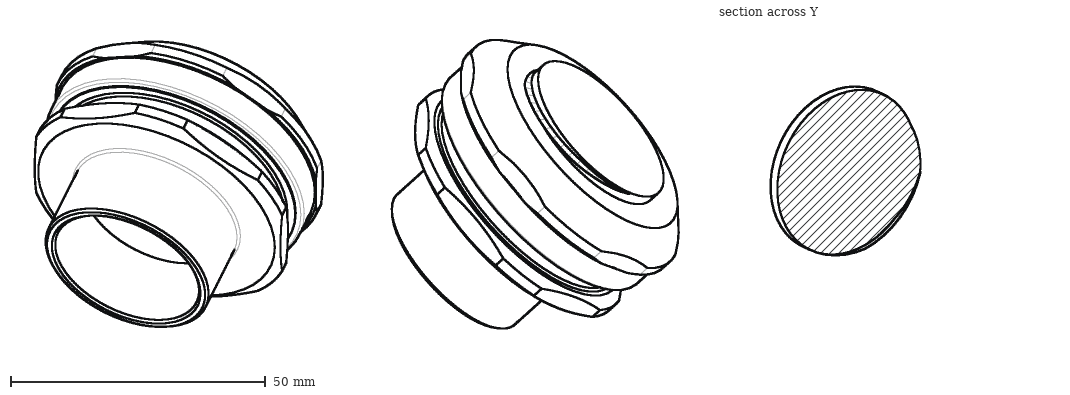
import cadquery as cq
import math


tube_radius = 34.4 / 2
bore_radius = 30.4 / 2
bore_depth = 15.5
mouth_chamfer = 0.5
tube_root_fillet = 0.5

front_nut_start = 15.95
front_nut_end = 21
front_nut_radius = 55.0 / 2
front_nut_flats = 51.9
front_nut_face_radius = 50 / 2
front_nut_chamfer_length = 1.4

neck_radius = 47.0 / 2
neck_chamfer = 0.5
collar_start = 25.25
collar_radius = 54.5 / 2
collar_edge_fillet = 0.5
collar_step_radius = 25.65
collar_step_height = 0.3
collar_step_start = collar_start - collar_step_height

rear_nut_start = 31.35
rear_nut_end = 39.7
rear_nut_radius = 56.8 / 2
rear_nut_flats = 55.0
rear_nut_chamfer = 0.6
rear_cone = 5.55

boss_radius = 33.75 / 2
boss_end = 42.1
thread_lead = 6.35
thread_height = 1.4
thread_half_width = 0.6
thread_root_sink = 0.55
thread_first_angle = -118
thread_full_angle = -73
thread_last_angle = 47
thread_angle_step = 7.5
thread_first_y = 41.75


def turned(points):
    """Revolve a closed (radius, y) outline about the Y axis."""
    return cq.Workplane("XY").polyline(points).close().revolve(360, (0, 0, 0), (0, 1, 0))


def disc(radius, start, end):
    """Solid cylinder along Y between two y positions."""
    return turned([(0, start), (radius, start), (radius, end), (0, end)])


def hex_prism(across_flats, start, end):
    """Hexagonal prism along Y with one pair of flats facing +X and -X."""
    corner_diameter = across_flats / math.cos(math.pi / 6)
    prism = cq.Workplane("XZ", origin=(0, start, 0)).polygon(6, corner_diameter).extrude(start - end)
    return prism.rotate((0, 0, 0), (0, 1, 0), 30)


def make_tube():
    tube = disc(tube_radius, 0, front_nut_start)
    return tube.faces("<Y").edges().chamfer(mouth_chamfer)


def make_bore():
    return turned([
        (0, 0),
        (bore_radius + mouth_chamfer, 0),
        (bore_radius, mouth_chamfer),
        (bore_radius, bore_depth),
        (0, bore_depth),
    ])


def make_tube_root():
    """Concave fillet where the tube meets the front nut."""
    outer = tube_radius + tube_root_fillet
    start = front_nut_start - tube_root_fillet
    diagonal = tube_root_fillet * math.sqrt(0.5)
    return (
        cq.Workplane("XY")
        .moveTo(0, start)
        .lineTo(tube_radius, start)
        .threePointArc((outer - diagonal, start + diagonal), (outer, front_nut_start))
        .lineTo(0, front_nut_start)
        .close()
        .revolve(360, (0, 0, 0), (0, 1, 0))
    )


def make_front_nut():
    blank = turned([
        (0, front_nut_start),
        (front_nut_face_radius, front_nut_start),
        (front_nut_radius, front_nut_start + front_nut_chamfer_length),
        (front_nut_radius, front_nut_end - front_nut_chamfer_length),
        (front_nut_face_radius, front_nut_end),
        (0, front_nut_end),
    ])
    return blank.intersect(hex_prism(front_nut_flats, front_nut_start, front_nut_end))


def make_neck():
    """Neck that flares at 45 degrees into its two neighbours."""
    return turned([
        (0, front_nut_end),
        (neck_radius + neck_chamfer, front_nut_end),
        (neck_radius, front_nut_end + neck_chamfer),
        (neck_radius, collar_step_start - neck_chamfer),
        (neck_radius + neck_chamfer, collar_step_start),
        (0, collar_step_start),
    ])


def make_collar():
    """Round collar with a low raised face on its front."""
    collar = disc(collar_radius, collar_start, rear_nut_start)
    collar = collar.faces("<Y").edges().fillet(collar_edge_fillet)
    return collar.union(disc(collar_step_radius, collar_step_start, collar_start))


def make_rear_nut():
    blank = turned([
        (0, rear_nut_start),
        (rear_nut_radius - rear_nut_chamfer, rear_nut_start),
        (rear_nut_radius, rear_nut_start + rear_nut_chamfer),
        (rear_nut_radius, rear_nut_end - rear_cone),
        (rear_nut_radius - rear_cone, rear_nut_end),
        (0, rear_nut_end),
    ])
    return blank.intersect(hex_prism(rear_nut_flats, rear_nut_start, rear_nut_end))


def thread_section(angle):
    """Triangular thread section in the radial plane at an angle from +X towards +Z."""
    turn = math.radians(angle)
    growth = min(1, (angle - thread_first_angle) / (thread_full_angle - thread_first_angle))
    middle = thread_first_y - thread_lead * (angle - thread_first_angle) / 360
    root = boss_radius - thread_root_sink
    crest = boss_radius + thread_height * growth
    slope = thread_half_width / thread_height
    half_width = slope * (crest - root)
    corners = [(root, middle - half_width), (crest, middle), (root, middle + half_width)]
    points = [cq.Vector(r * math.cos(turn), y, r * math.sin(turn)) for r, y in corners]
    return cq.Wire.makePolygon(points, close=True)


def make_thread():
    """Thread start that grows out of the boss and winds down into the rear nut."""
    steps = round((thread_last_angle - thread_first_angle) / thread_angle_step)
    sections = [thread_section(thread_first_angle + i * thread_angle_step) for i in range(steps + 1)]
    return cq.Workplane(obj=cq.Solid.makeLoft(sections, True))


result = (
    make_tube()
    .union(make_tube_root())
    .union(make_front_nut())
    .union(make_neck())
    .union(make_collar())
    .union(make_rear_nut())
    .union(disc(boss_radius, rear_nut_end, boss_end))
    .union(make_thread())
    .cut(make_bore())
)